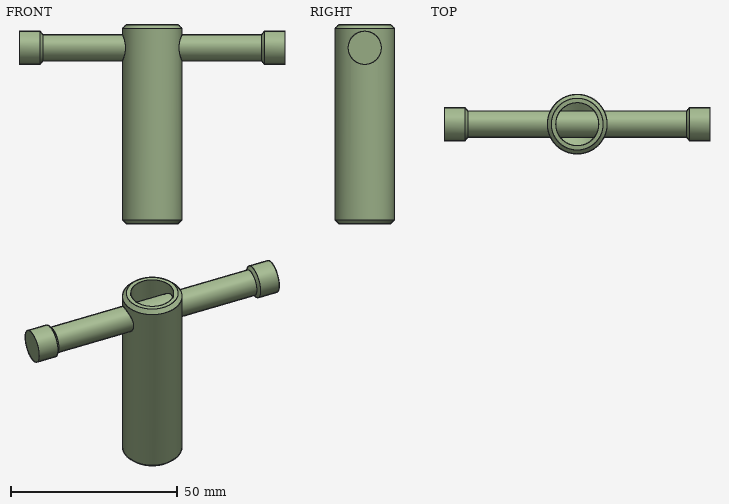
import cadquery as cq
import math

socket_length = 60.0
socket_diameter = 18.0
bore_diameter = 13.0
bore_depth = 14.0
bore_point_angle = 120.0
rim_chamfer = 1.2

bar_length = 80.0
bar_diameter = 8.0
head_diameter = 10.0
head_length = 6.2
neck_length = 0.8
head_below_rim = 2.0

bar_height = socket_length - head_below_rim - head_diameter / 2


def make_socket():
    """Upright chamfered cylinder, blind-bored from the top and cross-drilled for the bar."""
    body = cq.Workplane("XY").circle(socket_diameter / 2).extrude(socket_length)
    body = body.faces("<Z or >Z").chamfer(rim_chamfer)
    bore_radius = bore_diameter / 2
    point_depth = bore_radius / math.tan(math.radians(bore_point_angle / 2))
    cone_top = socket_length - bore_depth
    bore_profile = [
        (0, socket_length),
        (bore_radius, socket_length),
        (bore_radius, cone_top),
        (0, cone_top - point_depth),
    ]
    bore = cq.Workplane("XZ").polyline(bore_profile).close().revolve(360, (0, 0, 0), (0, 1, 0))
    cross_hole = (
        cq.Workplane("YZ", origin=(0, 0, bar_height))
        .circle(bar_diameter / 2)
        .extrude(socket_diameter / 2, both=True)
    )
    return body.cut(bore).cut(cross_hole)


def make_bar():
    """Round bar along X with a larger head at each end and a short cone behind each head."""
    half_length = bar_length / 2
    head_start = half_length - head_length
    neck_start = head_start - neck_length
    half_profile = [
        (-half_length, 0),
        (-half_length, head_diameter / 2),
        (-head_start, head_diameter / 2),
        (-neck_start, bar_diameter / 2),
        (neck_start, bar_diameter / 2),
        (head_start, head_diameter / 2),
        (half_length, head_diameter / 2),
        (half_length, 0),
    ]
    bar = cq.Workplane("XZ").polyline(half_profile).close().revolve(360, (0, 0, 0), (1, 0, 0))
    return bar.translate((0, 0, bar_height))


socket = make_socket()
bar = make_bar()

result = cq.Compound.makeCompound([socket.val(), bar.val()])